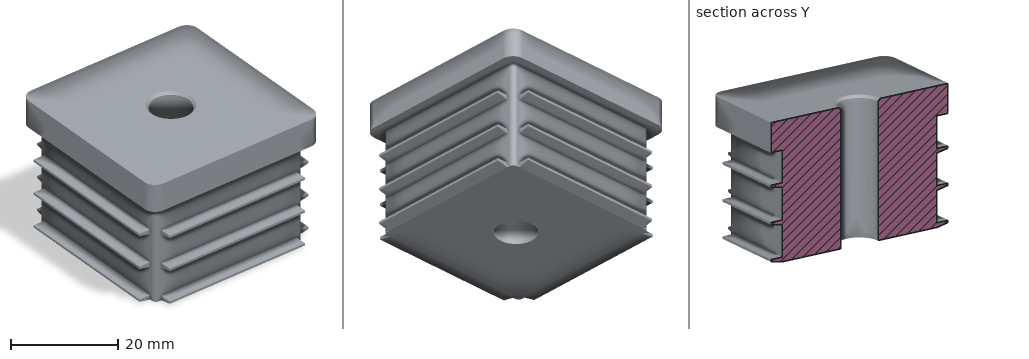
import cadquery as cq

cap_side = 40.0
cap_height = 6.0
cap_corner_radius = 2.5

body_side = 35.0
body_height = 22.0
body_corner_radius = 1.0

fin_length = 32.0
fin_root_thickness = 1.0
fin_tip_thickness = 0.5
fins_per_side = 3
fin_pitch = body_height / fins_per_side
side_count = 4

hole_diameter = 8.38
hole_chamfer = 0.5

total_height = body_height + cap_height


def rounded_block(side, height, corner_radius, base_z):
    """Square block centred on the Z axis, with rounded vertical edges."""
    return (
        cq.Workplane("XY")
        .workplane(offset=base_z)
        .rect(side, side)
        .extrude(height)
        .edges("|Z")
        .fillet(corner_radius)
    )


def fin(base_z):
    """Fin on the +X side: flat on top, sloping underneath up to a thin tip."""
    root_x = body_side / 2
    tip_x = cap_side / 2
    overlap_x = root_x - body_corner_radius
    top_z = base_z + fin_root_thickness
    return (
        cq.Workplane("XZ", origin=(0, fin_length / 2, 0))
        .moveTo(overlap_x, base_z)
        .lineTo(root_x, base_z)
        .lineTo(tip_x, top_z - fin_tip_thickness)
        .lineTo(tip_x, top_z)
        .lineTo(overlap_x, top_z)
        .close()
        .extrude(fin_length)
    )


def hole_cutter():
    """Full-height hole, widening at 45 degrees to the top face."""
    radius = hole_diameter / 2
    mouth_radius = radius + hole_chamfer
    return (
        cq.Workplane("XZ")
        .lineTo(radius, 0)
        .lineTo(radius, total_height - hole_chamfer)
        .lineTo(mouth_radius, total_height)
        .lineTo(0, total_height)
        .close()
        .revolve(360, (0, 0, 0), (0, 1, 0))
    )


body = rounded_block(body_side, body_height, body_corner_radius, 0)
cap = rounded_block(cap_side, cap_height, cap_corner_radius, body_height)
plug = body.union(cap)

for level in range(fins_per_side):
    level_fin = fin(level * fin_pitch)
    for side in range(side_count):
        turn = side * 360 / side_count
        plug = plug.union(level_fin.rotate((0, 0, 0), (0, 0, 1), turn))

result = plug.cut(hole_cutter())